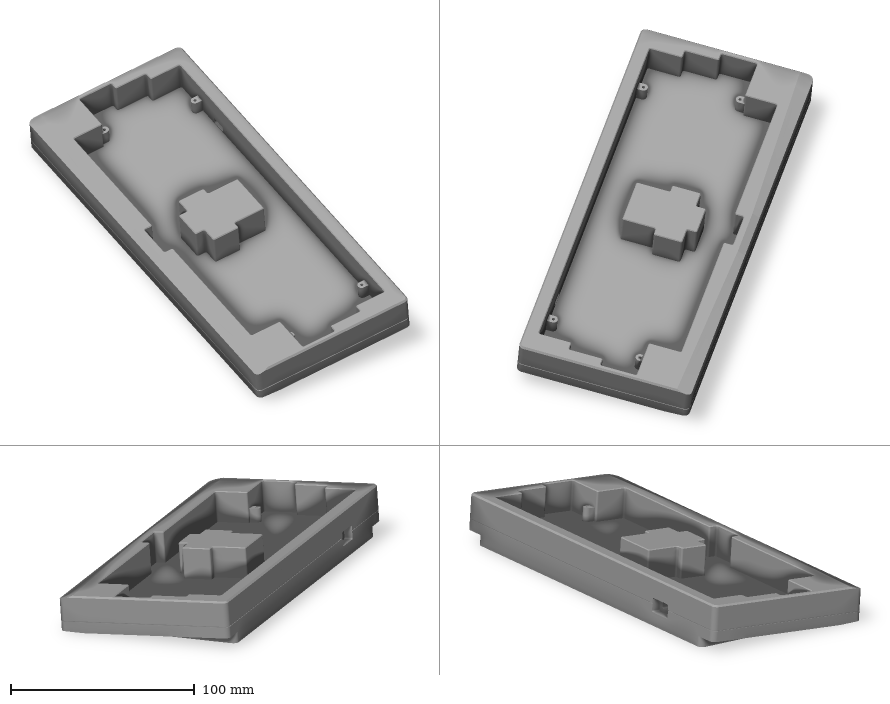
import cadquery as cq
import math


tilt = 4.0
width = 235.8
depth = 98.0
deck_height = 19.8
underside_drop = 1.0
corner_radius = 3.0
edge_chamfer = 1.0

seam_height = 5.2
seam_gap = 0.5
seam_depth = 0.5

front_edge_height = 17.7
front_run_end = 8.0
front_run_middle = 4.2
front_middle_half = 14.0

floor_height = 2.4
inner_radius = 1.0
rim_chamfer = 0.5

post_width = 4.7
post_height = 7.8
screw_diameter = 1.7
back_post_x = 85.5
back_post_y = 87.0
front_post_x = 95.2
front_post_y = 35.0

port_x = -67.0
port_width = 9.0
port_height = 3.5
port_sill = 0.5
port_bottom = floor_height + port_sill
plug_width = 14.9
plug_height = 8.0
plug_recess_depth = 4.7

foot_half_width = 107.0
foot_front = 2.4

well_back = 90.0
well_shoulder = 31.5
well_front = 13.2
well_half = [
    (105.1, well_back),
    (105.1, 71.5),
    (110.0, 71.5),
    (110.0, 52.0),
    (114.8, 52.0),
    (114.8, well_shoulder),
    (91.2, well_shoulder),
    (91.2, well_front),
    (10.4, well_front),
    (10.4, 8.0),
]
island_half = [
    (13.7, 70.0),
    (13.7, 51.0),
    (18.2, 51.0),
    (18.2, 34.7),
    (8.7, 34.7),
    (8.7, 29.0),
]

well_depth = deck_height - floor_height
margin = 2.4


def box(x_min, x_max, y_min, y_max, z_min, z_max):
    """Box given by its limits on each axis."""
    size = (x_max - x_min, y_max - y_min, z_max - z_min)
    return cq.Workplane("XY").box(*size, centered=False).translate((x_min, y_min, z_min))


def mirrored_prism(half_outline, bottom, height):
    """Upright prism with rounded corners from an outline mirrored about X = 0."""
    other_half = [(-x, y) for x, y in reversed(half_outline)]
    outline = cq.Workplane("XY").workplane(offset=bottom).polyline(half_outline + other_half).close()
    return outline.extrude(height).edges("|Z").fillet(inner_radius)


def rounded_slab(half_width, y_min, y_max, z_min, z_max):
    """Box centred on X = 0 with rounded upright corners."""
    slab = box(-half_width, half_width, y_min, y_max, z_min, z_max)
    return slab.edges("|Z").fillet(corner_radius)


def tray_block():
    """Outer block with its top edge chamfered and the seam groove cut around it."""
    block = rounded_slab(width / 2, 0, depth, -underside_drop, deck_height)
    block = block.faces(">Z").chamfer(edge_chamfer)
    seam_top = seam_height + seam_gap
    seam_band = box(-width, width, -width, width, seam_height, seam_top)
    core = rounded_slab(width / 2 - seam_depth, seam_depth, depth - seam_depth, seam_height, seam_top)
    return block.cut(seam_band.cut(core))


def front_edge_cutter():
    """Material above the sloped front edge; the slope twists from the middle to each end."""

    def section(x, run):
        points = [
            (x, 0, front_edge_height),
            (x, run, deck_height),
            (x, run, deck_height + margin),
            (x, -margin, deck_height + margin),
            (x, -margin, front_edge_height),
        ]
        return cq.Wire.makePolygon([cq.Vector(*point) for point in points], close=True)

    def stretch(start, end):
        return cq.Workplane(cq.Solid.makeLoft([section(*start), section(*end)], True))

    cutter = stretch((-front_middle_half, front_run_middle), (front_middle_half, front_run_middle))
    for side in (-1, 1):
        inner = (side * front_middle_half, front_run_middle)
        outer = (side * width / 2, front_run_end)
        cutter = cutter.union(stretch(inner, outer))
    return cutter


def hollow_out(block):
    """Cut the stepped key well and chamfer its rim."""
    hollow = block.cut(mirrored_prism(well_half, floor_height, well_depth))
    rim = hollow.faces(">Z").val().innerWires()[0]
    return hollow.newObject(rim.Edges()).chamfer(rim_chamfer)


def island():
    """Stepped block rising from the well floor to deck level."""
    return mirrored_prism(island_half, floor_height, well_depth).faces(">Z").chamfer(rim_chamfer)


def screw_post(x, y, wall_y):
    """Round-ended post joined to the well wall, with its screw hole."""
    radius = post_width / 2
    post = cq.Workplane("XY").center(x, y).circle(radius).extrude(post_height)
    post = post.union(box(x - radius, x + radius, min(y, wall_y), max(y, wall_y), 0, post_height))
    hole = cq.Workplane("XY").center(x, y).circle(screw_diameter / 2).extrude(post_height)
    return post.cut(hole).translate((0, 0, floor_height))


def cable_port():
    """Rounded opening through the back wall with a wider recess for the plug outside."""
    centre_height = port_bottom + port_height / 2

    def slot(slot_width, slot_height, start, end):
        plane = cq.Workplane("XZ", origin=(port_x, end, centre_height))
        return plane.rect(slot_width, slot_height).extrude(end - start).edges("|Y").fillet(inner_radius)

    opening = slot(port_width, port_height, well_back - margin, depth)
    recess = slot(plug_width, plug_height, depth - plug_recess_depth, depth + margin)
    return opening.union(recess)


case = hollow_out(tray_block()).cut(front_edge_cutter())
case = case.union(island())
for side in (-1, 1):
    case = case.union(screw_post(side * back_post_x, back_post_y, well_back))
    case = case.union(screw_post(side * front_post_x, front_post_y, well_shoulder))
case = case.cut(cable_port())
foot_drop = depth * math.tan(math.radians(tilt)) + margin
case = case.union(rounded_slab(foot_half_width, foot_front, depth, -foot_drop, 0))

tilted = case.rotate((0, 0, 0), (1, 0, 0), tilt)
result = tilted.intersect(box(-width, width, -width, width, 0, width))